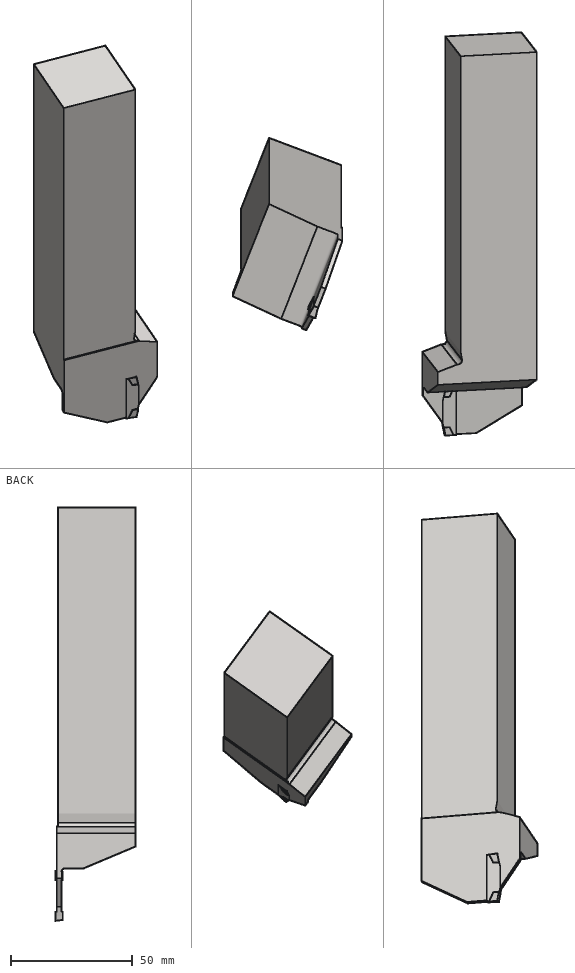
import cadquery as cq

TOTAL_HEIGHT = 170.0
SHANK_SIZE = 32.0
SIDE_TAPER = 0.14
HEAD_DEPTH = 41.5
HEAD_RIGHT = 32.5
HEAD_TOP = 39.0

SLOPE_START = 30.6
SLOPE_END_X = 21.5
HEAD_FLOOR = 21.6
FLOOR_FILLET = 1.4

BLADE_THICKNESS = 2.0
BLADE_LEFT = HEAD_RIGHT - BLADE_THICKNESS
BLADE_BOTTOM = 0.7
BLADE_FRONT_CORNER = 11.5
BLADE_BOTTOM_FRONT = 19.2
BLADE_BACK_CORNER = 17.7

LEDGE_BACK = 36.0
LEDGE_INNER_Y = 33.5
LEDGE_INNER_Z = 38.8
RELIEF_Y = 31.3
RELIEF_BOTTOM = 40.5
RELIEF_TOP = 44.2
RELIEF_ARC_Y = 31.8
RELIEF_ARC_Z = 39.5

INSERT_FRONT = 27.7
INSERT_BACK = 33.3
INSERT_LENGTH = 20.7
EDGE_Y = 32.1
RAKE_STEP_Y = 32.5
RAKE_STEP_Z = 2.0
RAKE_END_Z = 5.8
FLARE = 0.5
FLARE_FRONT = 28.5
FLARE_INNER_Y = 30.5
FLARE_HEIGHT = 3.9
EDGE_SLANT = 0.42


def make_side_outline():
    """Depth and height outline of the shank, head and blade."""
    outline = (
        cq.Workplane("YZ")
        .moveTo(0, BLADE_FRONT_CORNER)
        .lineTo(0, TOTAL_HEIGHT)
        .lineTo(SHANK_SIZE, TOTAL_HEIGHT)
        .lineTo(SHANK_SIZE, RELIEF_TOP)
        .lineTo(RELIEF_Y, RELIEF_BOTTOM)
        .threePointArc((RELIEF_ARC_Y, RELIEF_ARC_Z), (LEDGE_INNER_Y, LEDGE_INNER_Z))
        .lineTo(HEAD_DEPTH, LEDGE_BACK)
        .lineTo(HEAD_DEPTH, BLADE_BACK_CORNER)
        .lineTo(INSERT_BACK, RAKE_END_Z)
        .lineTo(INSERT_FRONT, BLADE_BOTTOM)
        .lineTo(BLADE_BOTTOM_FRONT, BLADE_BOTTOM)
        .close()
    )
    return outline.extrude(HEAD_RIGHT)


def make_front_outline():
    """Width and height outline, with the thin blade below the head floor."""
    fillet_shift = FLOOR_FILLET * (1 - 0.5 ** 0.5)
    outline = (
        cq.Workplane("XZ")
        .moveTo(0, TOTAL_HEIGHT)
        .lineTo(SHANK_SIZE, TOTAL_HEIGHT)
        .lineTo(SHANK_SIZE, HEAD_TOP)
        .lineTo(HEAD_RIGHT, HEAD_TOP)
        .lineTo(HEAD_RIGHT, 0)
        .lineTo(BLADE_LEFT, 0)
        .lineTo(BLADE_LEFT, HEAD_FLOOR - FLOOR_FILLET)
        .threePointArc(
            (BLADE_LEFT - fillet_shift, HEAD_FLOOR - fillet_shift),
            (BLADE_LEFT - FLOOR_FILLET, HEAD_FLOOR),
        )
        .lineTo(SLOPE_END_X, HEAD_FLOOR)
        .lineTo(0, SLOPE_START)
        .close()
    )
    return outline.extrude(-HEAD_DEPTH)


def make_tapered_envelope():
    """Full-height block whose -X face leans inward toward the front."""
    outline = cq.Workplane("XY").polyline(
        [(SIDE_TAPER, 0), (HEAD_RIGHT, 0), (HEAD_RIGHT, HEAD_DEPTH), (0, HEAD_DEPTH)]
    )
    return outline.close().extrude(TOTAL_HEIGHT)


def make_insert_profile():
    """Depth and height outline of the insert, wide enough for its flared ends."""
    lower = [(EDGE_Y, 0), (RAKE_STEP_Y, RAKE_STEP_Z), (INSERT_BACK, RAKE_END_Z)]
    upper = [(y, INSERT_LENGTH - z) for y, z in reversed(lower)]
    points = [(INSERT_FRONT, 0), *lower, *upper, (INSERT_FRONT, INSERT_LENGTH)]
    width = BLADE_THICKNESS + 2 * FLARE
    return cq.Workplane("YZ", origin=(BLADE_LEFT - FLARE, 0, 0)).polyline(points).close().extrude(width)


def make_end_flare(upper):
    """Wedge that widens one end of the insert toward its cutting edge."""
    plan = [
        (BLADE_LEFT, FLARE_FRONT),
        (HEAD_RIGHT, FLARE_FRONT),
        (HEAD_RIGHT + FLARE, EDGE_Y),
        (HEAD_RIGHT + FLARE, INSERT_BACK),
        (BLADE_LEFT - FLARE, INSERT_BACK),
        (BLADE_LEFT - FLARE, EDGE_Y),
    ]
    wedge = cq.Workplane("XY").polyline(plan).close().extrude(INSERT_LENGTH)
    side = [(FLARE_FRONT, 0), (INSERT_BACK, 0), (INSERT_BACK, FLARE_HEIGHT), (FLARE_INNER_Y, FLARE_HEIGHT)]
    if upper:
        side = [(y, INSERT_LENGTH - z) for y, z in side]
    limit = cq.Workplane("YZ").polyline(side).close().extrude(HEAD_RIGHT + FLARE)
    return wedge.intersect(limit)


def make_slanted_ends():
    """Block with end faces slanted so that the +X side is the longest."""
    left = BLADE_LEFT - FLARE
    right = HEAD_RIGHT + FLARE
    outline = cq.Workplane("XZ").polyline(
        [(left, EDGE_SLANT), (right, 0), (right, INSERT_LENGTH), (left, INSERT_LENGTH - EDGE_SLANT)]
    )
    return outline.close().extrude(-HEAD_DEPTH)


def make_insert():
    body = (
        cq.Workplane("YZ", origin=(BLADE_LEFT, 0, 0))
        .rect(2 * HEAD_DEPTH, 2 * INSERT_LENGTH)
        .extrude(BLADE_THICKNESS)
    )
    for upper in (False, True):
        body = body.union(make_end_flare(upper))
    return body.intersect(make_insert_profile()).intersect(make_slanted_ends())


def make_holder(insert):
    blank = make_side_outline().intersect(make_front_outline())
    return blank.intersect(make_tapered_envelope()).cut(insert)


insert = make_insert()
holder = make_holder(insert)

result = cq.Compound.makeCompound([holder.val(), insert.val()])